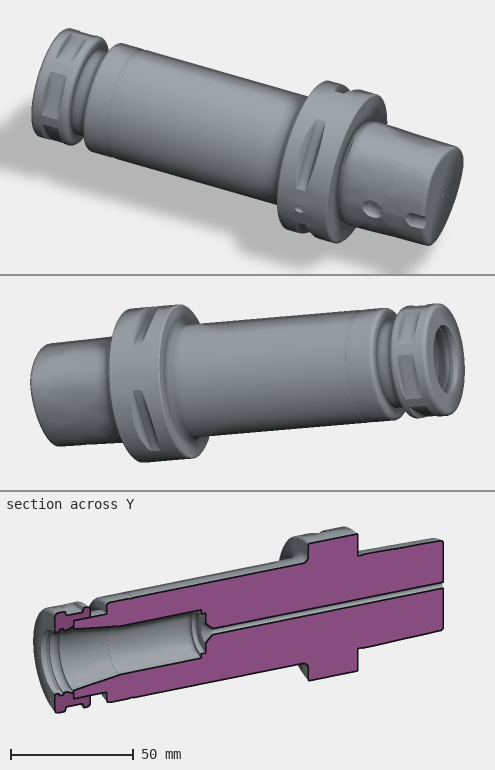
import cadquery as cq
import math


SHANK_LENGTH = 38.0
NUT_TIP_X = -135.0
NUT_LENGTH = 16.0
FLANGE_LENGTH = 22.2
NECK_GAP = 7.0
NOSE_DEPTH = 8.3

NUT_REAR_X = NUT_TIP_X + NUT_LENGTH
BARREL_X = NUT_REAR_X + NECK_GAP
NOSE_X = NUT_TIP_X + NOSE_DEPTH
FLANGE_X = -FLANGE_LENGTH

FLANGE_DIA = 63.0
BARREL_DIA = 46.0
NUT_DIA = BARREL_DIA
NECK_DIA = 36.0

BARREL_EDGE_FILLET = 1.7
FLANGE_ROOT_FILLET = 2.7
FLANGE_CHAMFER = 0.5
BARREL_GROOVE_OFFSET = 10.0
BARREL_GROOVE_X = BARREL_X + BARREL_GROOVE_OFFSET
BARREL_GROOVE_WIDTH = 2.0
BARREL_GROOVE_DEPTH = 0.2

SOCKET_MOUTH_DIA = 28.0
SOCKET_END_DIA = 22.3
SOCKET_HALF_ANGLE = 8.0
BORE_DIA = 21.9
BORE_BOTTOM_X = -70.0
POCKET_DIA = 18.0
POCKET_DEPTH = 2.0
COOLANT_FUNNEL_DIA = 9.0
COOLANT_DIA = 2.5
SOCKET_LENGTH = (SOCKET_MOUTH_DIA - SOCKET_END_DIA) / 2 / math.tan(math.radians(SOCKET_HALF_ANGLE))

SLOT_COUNT = 4
SLOT_X = -12.0
SLOT_FLOOR_RADIUS = 27.8
SLOT_FLOOR_WIDTH = 3.8
SLOT_WALL_ANGLE = 30.0
INDEX_HOLE_DIA = 4.0
INDEX_HOLE_DEPTH = 4.0

SHANK_MEAN_DIA = 44.0
LOBE_HEIGHT = 1.4
LOBE_COUNT = 3
SHANK_TAPER = 1 / 20
OUTLINE_POINTS = 90
SHANK_END_FILLET = 1.5
UNDERCUT_RADIUS = 22.0
UNDERCUT_LENGTH = 0.8
UNDERCUT_SLOPE = 1.4
ROOT_LENGTH = 2.2
ROOT_RELIEF = 0.3

DRILL_HALF_ANGLE = 59.0
CLAMP_HOLE_X = 15.5
CLAMP_HOLE_DIA = 9.0
CLAMP_HOLE_DEPTH = 6.0
END_NOTCH_DIA = 8.1
END_NOTCH_DEPTH = 6.2
END_NOTCH_Y = -21.4
END_NOTCH_HALF_ANGLE = 50.0

NUT_FRONT_FILLET = 1.7
NUT_REAR_FILLET = 1.9
FLAT_COUNT = 6
FLAT_RADIUS = 21.0
FLAT_LENGTH = 7.0
FLAT_OFFSET = 8.75
FLAT_X = NUT_TIP_X + FLAT_OFFSET
FLAT_WALL_ANGLE = 18.0
NUT_MOUTH_DIA = 28.0
NUT_GROOVE_DIA = 30.0
NUT_LIP_LENGTH = 2.2
NUT_GROOVE_WIDTH = 1.8
NUT_RIDGE_WIDTH = 1.5
NUT_SEAT_DIA = 30.4


def cylinder(x_start, x_end, diameter):
    """Round bar on the X axis."""
    return cq.Workplane("YZ").workplane(offset=x_start).circle(diameter / 2).extrude(x_end - x_start)


def revolve_about_x(points):
    """Solid of revolution about the X axis from (x, radius) points."""
    return cq.Workplane("XY").polyline(points).close().revolve(360, (0, 0, 0), (1, 0, 0))


def side_slot(x_centre, floor_radius, floor_width, wall_angle, outer_radius, angle):
    """Straight cutter with leaning walls, lying across the direction at the given angle from +Z."""
    height = outer_radius - floor_radius
    half_floor = floor_width / 2
    half_top = half_floor + height * math.tan(math.radians(wall_angle))
    cutter = (
        cq.Workplane("XZ")
        .polyline([
            (x_centre - half_floor, floor_radius),
            (x_centre + half_floor, floor_radius),
            (x_centre + half_top, outer_radius),
            (x_centre - half_top, outer_radius),
        ])
        .close()
        .extrude(outer_radius, both=True)
    )
    return cutter.rotate((0, 0, 0), (1, 0, 0), angle)


def polygon_wire(x, relief=0.0):
    """Three-lobed shank outline at x, set in by the relief, with one lobe pointing to +Y.

    It is the envelope of tangent lines whose distance from the axis is r + e cos(3t).
    """
    mean_radius = (SHANK_MEAN_DIA - SHANK_TAPER * x) / 2 - relief
    points = []
    for i in range(OUTLINE_POINTS):
        t = math.pi + 2 * math.pi * i / OUTLINE_POINTS
        reach = mean_radius + LOBE_HEIGHT * math.cos(LOBE_COUNT * t)
        slide = -LOBE_COUNT * LOBE_HEIGHT * math.sin(LOBE_COUNT * t)
        y = reach * math.cos(t) - slide * math.sin(t)
        z = reach * math.sin(t) + slide * math.cos(t)
        points.append(cq.Vector(x, y, z))
    return cq.Wire.assembleEdges([cq.Edge.makeSpline(points, periodic=True)])


def make_shank():
    taper = cq.Solid.makeLoft([polygon_wire(ROOT_LENGTH), polygon_wire(SHANK_LENGTH)], True)
    root = cq.Solid.makeLoft([polygon_wire(0, ROOT_RELIEF), polygon_wire(ROOT_LENGTH, ROOT_RELIEF)], True)
    shank = cq.Workplane("XY").newObject([taper]).faces(">X").edges().fillet(SHANK_END_FILLET)

    slope_end = UNDERCUT_LENGTH + UNDERCUT_SLOPE
    clear_radius = UNDERCUT_RADIUS + UNDERCUT_SLOPE
    undercut = revolve_about_x([
        (0, UNDERCUT_RADIUS),
        (UNDERCUT_LENGTH, UNDERCUT_RADIUS),
        (slope_end, clear_radius),
        (0, clear_radius),
    ])
    return shank.union(cq.Workplane(root)).cut(undercut)


def make_clamp_hole():
    """Blind hole with a drill point, entering the -Y flat of the shank."""
    surface = (SHANK_MEAN_DIA - SHANK_TAPER * CLAMP_HOLE_X) / 2 - LOBE_HEIGHT
    radius = CLAMP_HOLE_DIA / 2
    floor = surface - CLAMP_HOLE_DEPTH
    point_length = radius / math.tan(math.radians(DRILL_HALF_ANGLE))
    outside = SHANK_MEAN_DIA / 2
    points = [
        (CLAMP_HOLE_X, -outside),
        (CLAMP_HOLE_X + radius, -outside),
        (CLAMP_HOLE_X + radius, -floor),
        (CLAMP_HOLE_X, point_length - floor),
    ]
    return cq.Workplane("XY").polyline(points).close().revolve(360, (CLAMP_HOLE_X, 0, 0), (CLAMP_HOLE_X, 1, 0))


def make_end_notch():
    """Half-open pointed hole along X, running in from the shank end on the -Y side."""
    radius = END_NOTCH_DIA / 2
    floor_x = SHANK_LENGTH - END_NOTCH_DEPTH
    point_x = floor_x - radius / math.tan(math.radians(END_NOTCH_HALF_ANGLE))
    notch = revolve_about_x([
        (point_x, 0),
        (floor_x, radius),
        (SHANK_LENGTH, radius),
        (SHANK_LENGTH, 0),
    ])
    return notch.translate((0, END_NOTCH_Y, 0))


def make_socket():
    """Collet taper, bore, bottom pocket and coolant passage as one cutter."""
    taper_end = NOSE_X + SOCKET_LENGTH
    pocket_x = BORE_BOTTOM_X + POCKET_DEPTH
    funnel_end = pocket_x + (COOLANT_FUNNEL_DIA - COOLANT_DIA) / 2
    return revolve_about_x([
        (NOSE_X, 0),
        (NOSE_X, SOCKET_MOUTH_DIA / 2),
        (taper_end, SOCKET_END_DIA / 2),
        (taper_end, BORE_DIA / 2),
        (BORE_BOTTOM_X, BORE_DIA / 2),
        (BORE_BOTTOM_X, POCKET_DIA / 2),
        (pocket_x, POCKET_DIA / 2),
        (pocket_x, COOLANT_FUNNEL_DIA / 2),
        (funnel_end, COOLANT_DIA / 2),
        (SHANK_LENGTH, COOLANT_DIA / 2),
        (SHANK_LENGTH, 0),
    ])


def make_flange():
    flange = cylinder(FLANGE_X, 0, FLANGE_DIA).edges().chamfer(FLANGE_CHAMFER)
    for i in range(SLOT_COUNT):
        angle = (i + 0.5) * 360 / SLOT_COUNT
        flange = flange.cut(
            side_slot(SLOT_X, SLOT_FLOOR_RADIUS, SLOT_FLOOR_WIDTH, SLOT_WALL_ANGLE, FLANGE_DIA / 2, angle)
        )

    radius = INDEX_HOLE_DIA / 2
    floor_y = INDEX_HOLE_DEPTH - FLANGE_DIA / 2
    point_y = floor_y + radius / math.tan(math.radians(DRILL_HALF_ANGLE))
    index_hole = (
        cq.Workplane("XY")
        .polyline([
            (SLOT_X, -FLANGE_DIA / 2),
            (SLOT_X + radius, -FLANGE_DIA / 2),
            (SLOT_X + radius, floor_y),
            (SLOT_X, point_y),
        ])
        .close()
        .revolve(360, (SLOT_X, 0, 0), (SLOT_X, 1, 0))
    )
    return flange.cut(index_hole)


def make_barrel():
    """Barrel with rounded front edge, shallow ring groove and concave fillet into the flange."""
    barrel = cylinder(BARREL_X, FLANGE_X, BARREL_DIA).faces("<X").edges().fillet(BARREL_EDGE_FILLET)
    groove_end = BARREL_GROOVE_X + BARREL_GROOVE_WIDTH
    groove_floor_dia = BARREL_DIA - 2 * BARREL_GROOVE_DEPTH
    groove = cylinder(BARREL_GROOVE_X, groove_end, BARREL_DIA)
    groove = groove.cut(cylinder(BARREL_GROOVE_X, groove_end, groove_floor_dia))
    root_start = FLANGE_X - FLANGE_ROOT_FILLET
    root_radius = BARREL_DIA / 2 + FLANGE_ROOT_FILLET
    arc_offset = FLANGE_ROOT_FILLET * math.sin(math.radians(45))
    root = (
        cq.Workplane("XY")
        .moveTo(root_start, 0)
        .lineTo(root_start, BARREL_DIA / 2)
        .threePointArc(
            (root_start + arc_offset, root_radius - arc_offset),
            (FLANGE_X, root_radius),
        )
        .lineTo(FLANGE_X, 0)
        .close()
        .revolve(360, (0, 0, 0), (1, 0, 0))
    )
    return barrel.cut(groove).union(root)


def make_body():
    neck = cylinder(NOSE_X, BARREL_X, NECK_DIA)
    body = neck.union(make_barrel()).union(make_flange()).union(make_shank())
    return body.cut(make_socket()).cut(make_clamp_hole()).cut(make_end_notch())


def make_nut():
    nut = cylinder(NUT_TIP_X, NUT_REAR_X, NUT_DIA)
    nut = nut.faces("<X").edges().fillet(NUT_FRONT_FILLET)
    nut = nut.faces(">X").edges().fillet(NUT_REAR_FILLET)
    for i in range(FLAT_COUNT):
        angle = i * 360 / FLAT_COUNT
        nut = nut.cut(side_slot(FLAT_X, FLAT_RADIUS, FLAT_LENGTH, FLAT_WALL_ANGLE, NUT_DIA / 2, angle))

    lip_end = NUT_TIP_X + NUT_LIP_LENGTH
    groove_end = lip_end + NUT_GROOVE_WIDTH
    ridge_end = groove_end + NUT_RIDGE_WIDTH
    opening = revolve_about_x([
        (NUT_TIP_X, 0),
        (NUT_TIP_X, NUT_MOUTH_DIA / 2),
        (lip_end, NUT_MOUTH_DIA / 2),
        (lip_end, NUT_GROOVE_DIA / 2),
        (groove_end, NUT_GROOVE_DIA / 2),
        (groove_end, NUT_MOUTH_DIA / 2),
        (ridge_end, NUT_MOUTH_DIA / 2),
        (NOSE_X, NUT_SEAT_DIA / 2),
        (NOSE_X, NECK_DIA / 2),
        (NUT_REAR_X, NECK_DIA / 2),
        (NUT_REAR_X, 0),
    ])
    return nut.cut(opening)


body = make_body()
nut = make_nut()
result = cq.Compound.makeCompound([body.val(), nut.val()])